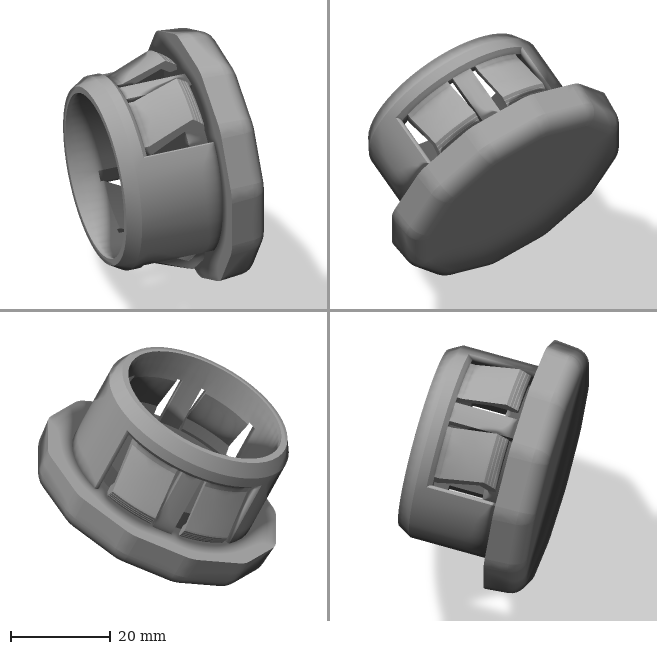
import cadquery as cq
import math


FLANGE_SIDES = 12
FLANGE_ACROSS_FLATS = 50.78
FLANGE_THICKNESS = 8.0
FLANGE_CORNER_RADIUS = 6.0
FLANGE_DRAFT = 5.0
FLANGE_EDGE_RADIUS = 3.4

BARREL_RADIUS = 20.0
BORE_RADIUS = 34.1 / 2
BARREL_LENGTH = 20.0
TIP_CHAMFER_LENGTH = 2.75
TIP_CHAMFER_ANGLE = 30.0

BOSS_RADIUS = 31.63 / 2
BOSS_HEIGHT = 4.0

RECESS_DEPTH = 1.0
RECESS_LEDGE_Z = 13.25
WINDOW_LENGTH = 14.05
WINDOW_OUTER_X = 14.07
LEDGE_EDGE_RADIUS = 0.8
POST_WIDTH = 4.2
RECESS_RADIUS = BARREL_RADIUS - RECESS_DEPTH

CLIP_WIDTH = 9.5
CLIP_INNER_X = 3.25
CLIP_BEND_Y = -12.95
CLIP_CREST = (22.42, -3.68)
CLIP_CREST_LAND_END = (22.34, -4.0)
CLIP_TOP = (20.84, -1.3)
CLIP_END = (19.65, -1.22)
CLIP_HEEL = (19.4, -2.7)
CLIP_ARMPIT = (20.68, -4.59)
CLIP_ROOT_Y = -13.4
TOOTH_COUNT = 4
TOOTH_FLAT = 0.13

OVERLAP = 0.5


def turned(points):
    """Solid of revolution about Y from a closed (radius, y) outline."""
    return cq.Workplane("XY").polyline(points).close().revolve(360, (0, 0, 0), (0, 1, 0))


def box(x_range, y_range, z_range):
    """Axis-aligned box given by its limits on each axis."""
    sizes = [high - low for low, high in (x_range, y_range, z_range)]
    corner = (x_range[0], y_range[0], z_range[0])
    return cq.Workplane("XY").box(*sizes, centered=False).translate(corner)


def make_flange():
    """Drafted twelve-sided flange with rounded corners and a rounded top edge."""
    half_side_angle = math.pi / FLANGE_SIDES
    corner_distance = FLANGE_ACROSS_FLATS / 2 / math.cos(half_side_angle)
    outline = (
        cq.Sketch()
        .regularPolygon(corner_distance, FLANGE_SIDES, angle=math.degrees(half_side_angle))
        .vertices()
        .fillet(FLANGE_CORNER_RADIUS)
    )
    flange = cq.Workplane("XY").placeSketch(outline).extrude(FLANGE_THICKNESS, taper=FLANGE_DRAFT)
    flange = flange.faces(">Z").edges().fillet(FLANGE_EDGE_RADIUS)
    return flange.rotate((0, 0, 0), (1, 0, 0), -90)


def make_barrel():
    """Tube with a chamfered tip, open at -Y and standing on the flange underside."""
    chamfer_depth = TIP_CHAMFER_LENGTH * math.tan(math.radians(TIP_CHAMFER_ANGLE))
    return turned([
        (BORE_RADIUS, 0),
        (BARREL_RADIUS, 0),
        (BARREL_RADIUS, TIP_CHAMFER_LENGTH - BARREL_LENGTH),
        (BARREL_RADIUS - chamfer_depth, -BARREL_LENGTH),
        (BORE_RADIUS, -BARREL_LENGTH),
    ])


def make_boss():
    """Round boss at the closed end of the bore."""
    return turned([(0, 0), (BOSS_RADIUS, 0), (BOSS_RADIUS, -BOSS_HEIGHT), (0, -BOSS_HEIGHT)])


def make_recess_cutter():
    """Curved recess across the windows, flanked by flat ledges that round over into the window sides."""
    outer_radius = BARREL_RADIUS + OVERLAP
    y_range = (-BARREL_LENGTH, 0)
    cone_offset = WINDOW_LENGTH - RECESS_RADIUS
    ring = turned([
        (BORE_RADIUS, 0),
        (outer_radius, 0),
        (outer_radius, -outer_radius - cone_offset),
        (BORE_RADIUS, -BORE_RADIUS - cone_offset),
    ])
    middle = box((-WINDOW_OUTER_X, WINDOW_OUTER_X), y_range, (-outer_radius, outer_radius))
    kept_floor = cq.Workplane("XZ").circle(RECESS_RADIUS).extrude(BARREL_LENGTH).intersect(middle)
    cutter = ring.cut(kept_floor)
    kept_wall = (
        box((WINDOW_OUTER_X, outer_radius), y_range, (-RECESS_LEDGE_Z, RECESS_LEDGE_Z))
        .faces("<X")
        .edges("|Y")
        .fillet(LEDGE_EDGE_RADIUS)
    )
    return cutter.cut(kept_wall).cut(kept_wall.mirror("YZ"))


def make_window_cutter(side):
    """Opening through the wall on both Z sides, between the post and the ledge on the given X side."""
    x_range = sorted((side * POST_WIDTH / 2, side * WINDOW_OUTER_X))
    window = box(x_range, (-WINDOW_LENGTH, 0), (-BARREL_RADIUS, BARREL_RADIUS))
    bore_core = cq.Workplane("XZ").circle(BORE_RADIUS).extrude(WINDOW_LENGTH)
    return window.cut(bore_core)


def clip_teeth():
    """Ratchet outline from the clip top up to its crest: each tooth is a ramp followed by a flat."""
    radius_step = (CLIP_CREST[0] - CLIP_TOP[0]) / TOOTH_COUNT
    y_step = (CLIP_CREST[1] - CLIP_TOP[1]) / TOOTH_COUNT
    points = [CLIP_TOP]
    for tooth in range(1, TOOTH_COUNT):
        radius = CLIP_TOP[0] + tooth * radius_step
        y = CLIP_TOP[1] + tooth * y_step
        points += [(radius, y + TOOTH_FLAT), (radius, y)]
    return points + [CLIP_CREST]


def make_clip_ring():
    """Full ring with the clip profile, from its root at the window end to its toothed hook."""
    root_y = -WINDOW_LENGTH - OVERLAP
    return turned(clip_teeth() + [
        CLIP_CREST_LAND_END,
        (RECESS_RADIUS, CLIP_BEND_Y),
        (RECESS_RADIUS, root_y),
        (BORE_RADIUS, root_y),
        (BORE_RADIUS, CLIP_ROOT_Y),
        CLIP_ARMPIT,
        CLIP_HEEL,
        CLIP_END,
    ])


def make_clips(side):
    """The +Z and -Z clips on the given X side."""
    x_range = sorted((side * CLIP_INNER_X, side * (CLIP_INNER_X + CLIP_WIDTH)))
    reach = CLIP_CREST[0] + OVERLAP
    slab = box(x_range, (-BARREL_LENGTH, 0), (-reach, reach))
    return make_clip_ring().intersect(slab)


barrel = make_barrel().cut(make_recess_cutter())
for x_side in (-1, 1):
    barrel = barrel.cut(make_window_cutter(x_side)).union(make_clips(x_side))

result = make_flange().union(make_boss()).union(barrel)